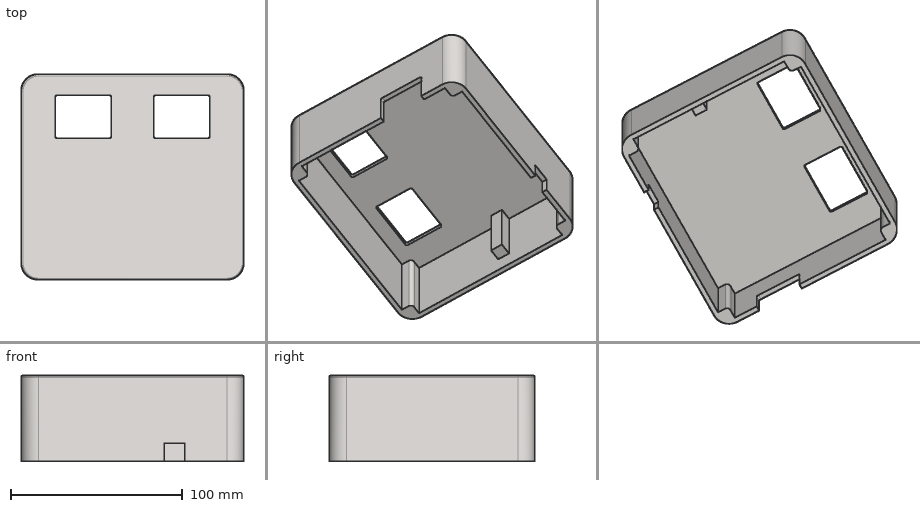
import cadquery as cq

LENGTH = 130.0
WIDTH = 120.0
HEIGHT = 50.0
CORNER_RADIUS = 10.0
TOP_EDGE_RADIUS = 1.0
WALL = 3.0
SMALL_RADIUS = 1.0

WINDOW_LENGTH = 32.5
WINDOW_WIDTH = 25.0
WINDOW_X = 28.7
WINDOW_Y = 35.1

FRONT_NOTCH_LENGTH = 12.0
FRONT_NOTCH_HEIGHT = 10.7
FRONT_NOTCH_X = 24.5
SIDE_NOTCH_WIDTH = 28.2
SIDE_NOTCH_HEIGHT = 20.2
SIDE_NOTCH_Y = -21.3

POST_LENGTH = 7.5
POST_WIDTH = 7.0
POST_RADIUS = 2.3

BLOCK_BOTTOM = 11.0
BLOCK_EDGE_Y = -12.9

CAVITY_LENGTH = LENGTH - 2 * WALL
CAVITY_WIDTH = WIDTH - 2 * WALL
CEILING = HEIGHT - WALL
OVERLAP = WALL / 2
CUT_DEPTH = 2 * WALL


def upright_box(length, width, height, x=0, y=0, z=0):
    """Box centred on (x, y), with its underside at z."""
    return cq.Workplane().box(length, width, height, centered=(True, True, False)).translate((x, y, z))


def make_shell():
    outer = upright_box(LENGTH, WIDTH, HEIGHT).edges("|Z").fillet(CORNER_RADIUS)
    outer = outer.faces(">Z").edges().fillet(TOP_EDGE_RADIUS)
    cavity = upright_box(CAVITY_LENGTH, CAVITY_WIDTH, CEILING).edges("|Z").fillet(CORNER_RADIUS - WALL)
    return outer.cut(cavity)


def make_window(side):
    window = upright_box(WINDOW_LENGTH, WINDOW_WIDTH, CUT_DEPTH, side * WINDOW_X, WINDOW_Y, CEILING - OVERLAP)
    return window.edges("|Z").fillet(SMALL_RADIUS)


def make_front_notch():
    return upright_box(FRONT_NOTCH_LENGTH, CUT_DEPTH, FRONT_NOTCH_HEIGHT, FRONT_NOTCH_X, -WIDTH / 2)


def make_side_notch():
    notch = upright_box(CUT_DEPTH, SIDE_NOTCH_WIDTH, SIDE_NOTCH_HEIGHT, -LENGTH / 2, SIDE_NOTCH_Y)
    return notch.edges("|X and >Z").fillet(SMALL_RADIUS)


def make_corner_posts():
    """A ring of four posts, clipped to the rounded outline of the shell."""
    height = CEILING + OVERLAP
    outline = upright_box(LENGTH - WALL, WIDTH - WALL, height).edges("|Z").fillet(CORNER_RADIUS - OVERLAP)
    post = upright_box(2 * POST_LENGTH, 2 * POST_WIDTH, height).edges("|Z").fillet(POST_RADIUS)
    posts = cq.Workplane()
    for side_x in (-1, 1):
        for side_y in (-1, 1):
            corner = (side_x * CAVITY_LENGTH / 2, side_y * CAVITY_WIDTH / 2, 0)
            posts = posts.add(post.translate(corner).intersect(outline))
    return posts.combine()


def make_hanging_block():
    length = POST_LENGTH + OVERLAP
    x = CAVITY_LENGTH / 2 + OVERLAP - length / 2
    y = BLOCK_EDGE_Y + POST_LENGTH / 2
    return upright_box(length, POST_LENGTH, CEILING + OVERLAP - BLOCK_BOTTOM, x, y, BLOCK_BOTTOM)


result = make_shell().union(make_corner_posts()).union(make_hanging_block())
for side in (-1, 1):
    result = result.cut(make_window(side))
result = result.cut(make_front_notch()).cut(make_side_notch())